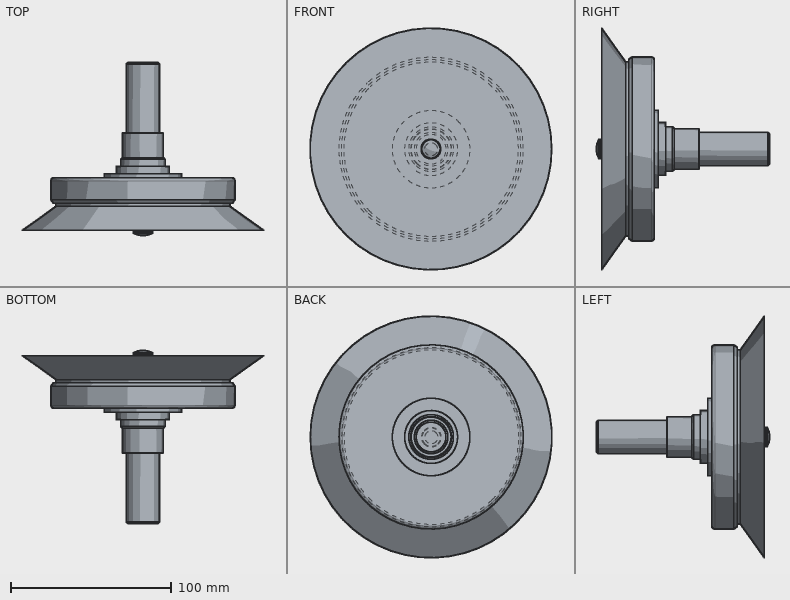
import cadquery as cq


rim_radius = 75.5
neck_radius = 109.0 / 2
cone_height = 15.0

body_radius = 115.0 / 2
body_bottom = 16.9
body_top = 32.9
body_top_round = 2.0
body_bevel_height = 2.1
body_bevel_depth = 1.5

flange_radius = 48.5 / 2
flange_top = 35.5
step_radius = 33.0 / 2
step_top = 40.0
hub_radius = 28.0 / 2
collar_radius = 25.5 / 2
collar_bottom = 45.5
collar_top = 60.9
collar_chamfer = 0.3

shaft_radius = 21.0 / 2
shaft_end = 105.0
shaft_chamfer = 1.2

button_tip = -3.3
button_stem_radius = 8.2 / 2
button_waist_radius = 11.5 / 2
button_radius = 12.2 / 2
button_back = -0.8
button_edge = -1.7


def turned(profile):
    """Revolve a closed half-profile, drawn in the XY plane, about the Y axis."""
    return profile.close().revolve(360, (0, 0, 0), (0, 1, 0))


def plain_cylinder(radius, bottom, top):
    """Cylinder along +Y between two heights."""
    base = cq.Workplane("XZ", origin=(0, bottom, 0))
    return base.circle(radius).extrude(bottom - top)


def make_cup():
    """Flared cup with a flat face and a straight neck."""
    return turned(
        cq.Workplane("XY")
        .moveTo(0, 0)
        .lineTo(rim_radius, 0)
        .lineTo(neck_radius, cone_height)
        .lineTo(neck_radius, body_bottom)
        .lineTo(0, body_bottom)
    )


def make_body():
    """Disc rounded on its shaft side and bevelled on its cup side."""
    body = turned(
        cq.Workplane("XY")
        .moveTo(0, body_bottom)
        .lineTo(body_radius - body_bevel_depth, body_bottom)
        .lineTo(body_radius, body_bottom + body_bevel_height)
        .lineTo(body_radius, body_top)
        .lineTo(0, body_top)
    )
    return body.faces(">Y").edges().fillet(body_top_round)


def make_hub():
    """Flange, step and collar, with a bevel where the hub narrows to the collar."""
    flange = plain_cylinder(flange_radius, body_bottom, flange_top)
    step = plain_cylinder(step_radius, body_bottom, step_top)
    hub = plain_cylinder(hub_radius, body_bottom, collar_bottom)
    hub = hub.faces(">Y").edges().chamfer(hub_radius - collar_radius)
    collar = plain_cylinder(collar_radius, body_bottom, collar_top)
    collar = collar.faces(">Y").edges().chamfer(collar_chamfer)
    return flange.union(step).union(hub).union(collar)


def make_shaft():
    """Plain shaft with a chamfered free end."""
    shaft = plain_cylinder(shaft_radius, body_bottom, shaft_end)
    return shaft.faces(">Y").edges().chamfer(shaft_chamfer)


def make_button():
    """Short stem carrying a head with a spherical front and a hollow edge."""
    dome_height = button_edge - button_tip
    dome_radius = (button_radius**2 + dome_height**2) / (2 * dome_height)
    mid_x = button_radius / 2
    mid_y = button_tip + dome_radius - (dome_radius**2 - mid_x**2) ** 0.5
    waist_y = (button_back + button_edge) / 2
    return turned(
        cq.Workplane("XY")
        .moveTo(0, button_tip)
        .threePointArc((mid_x, mid_y), (button_radius, button_edge))
        .threePointArc((button_waist_radius, waist_y), (button_radius, button_back))
        .lineTo(button_stem_radius, button_back)
        .lineTo(button_stem_radius, cone_height)
        .lineTo(0, cone_height)
    )


result = make_cup().union(make_body()).union(make_hub()).union(make_shaft()).union(make_button())